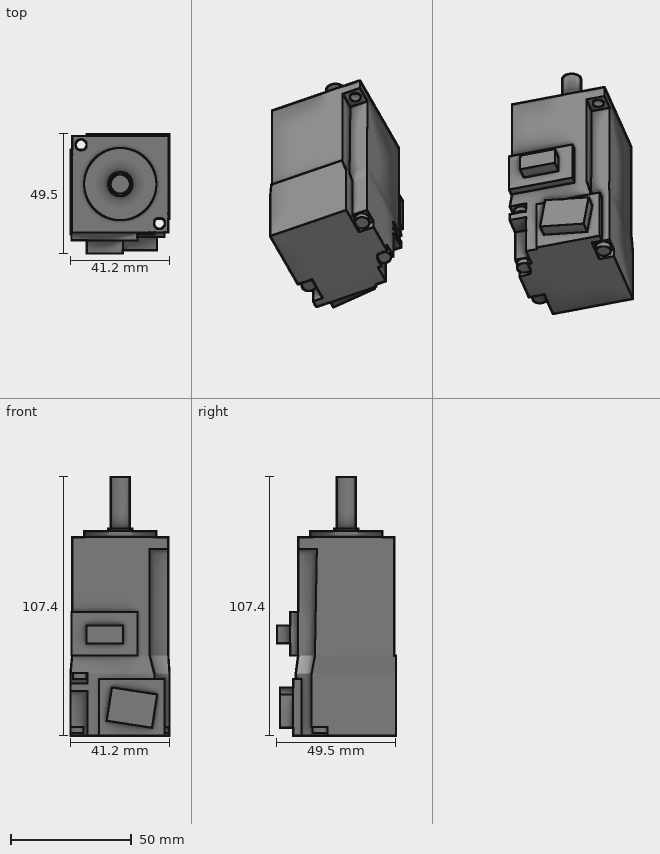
import cadquery as cq
import math


overall_height = 107.4
shaft_length = 25.0
shaft_diameter = 8.0
collar_diameter = 10.0
collar_height = 1.0
pilot_diameter = 30.0
pilot_height = 2.5
flange_size = 40.0
flange_thickness = 5.0
bolt_hole_diameter = 4.5
bolt_circle_diameter = 46.0

flange_top = overall_height - shaft_length
flange_bottom = flange_top - flange_thickness
taper_top = 33.3
taper_bottom = 25.8

half_flange = flange_size / 2
cover_left = -20.7
cover_right = 20.5
cover_front = -21.0
cover_back = 20.7

notch_wall_x = 12.2
notch_wall_y_top = 12.2
notch_wall_y_bottom = 13.0
notch_cover_x = 14.1
notch_cover_y = 14.4
notch_reach = 30.0

corner_wall_x = -13.6
corner_wall_y = -12.85
window_bottom = 21.8
window_top = 26.1
cutaway_top = 18.6

head_height = 2.6
window_head_diameter = 5.8
window_head_x = -16.8
window_head_y = -16.9
cover_head_diameter = 6.1
recess_height = 3.7
corner_head_x = -17.6
corner_head_y = -9.7
corner_recess_x = -15.2
corner_recess_y = -6.3
corner_recess_radius = 2.5
side_head_x = 16.9
side_head_y = 10.9
side_recess_y = 7.7

power_plate_left = -20.3
power_plate_right = 7.1
power_plate_top = 51.4
power_plate_face = -23.3
power_plug_left = -13.9
power_plug_width = 15.0
power_plug_bottom = 38.3
power_plug_height = 7.5
power_plug_face = -28.8

encoder_plate_left = -8.8
encoder_plate_right = 18.45
encoder_plate_top = 23.6
encoder_plate_face = -22.0
encoder_plate_thickness = 3.4
encoder_plug_width = 19.0
encoder_plug_height = 14.0
encoder_plug_x = 4.85
encoder_plug_z = 11.7
encoder_plug_tilt = 8.8
encoder_plug_face = -27.5


def block(x_range, y_range, z_range):
    """Axis-aligned box between the given pairs of limits."""
    size = [high - low for low, high in (x_range, y_range, z_range)]
    return cq.Workplane("XY").box(*size, centered=False).translate(
        (x_range[0], y_range[0], z_range[0])
    )


def cylinder(diameter, bottom, top, x=0, y=0):
    """Vertical cylinder between two heights."""
    return cq.Workplane("XY", origin=(x, y, bottom)).circle(diameter / 2).extrude(top - bottom)


def frustum(lower, upper, z_range):
    """Ruled body between two rectangles, each given as (left, right, front, back)."""
    solid = cq.Workplane("XY", origin=(0, 0, z_range[0]))
    rise = z_range[1] - z_range[0]
    for (left, right, front, back), step in ((lower, 0), (upper, rise)):
        solid = (
            solid.workplane(offset=step)
            .center((left + right) / 2, (front + back) / 2)
            .rect(right - left, back - front)
            .center(-(left + right) / 2, -(front + back) / 2)
        )
    return solid.loft(ruled=True)


def half_turn(shape):
    """The same shape turned 180 degrees about the motor axis."""
    return shape.rotate((0, 0, 0), (0, 0, 1), 180)


def make_body():
    square = (-half_flange, half_flange)
    motor = block(square, square, (taper_top, flange_top))
    cover_outline = (cover_left, cover_right, cover_front, cover_back)
    taper_outline = (-half_flange, half_flange, -half_flange, cover_back)
    taper = frustum(cover_outline, taper_outline, (taper_bottom, taper_top))
    cover = block((cover_left, cover_right), (cover_front, cover_back), (0, taper_bottom))
    return motor.union(taper).union(cover)


def make_bolt_notch():
    """Corner notch at -X +Y behind a flange hole, widening towards the flange."""

    def section(wall_x, wall_y):
        return (-notch_reach, -wall_x, wall_y, notch_reach)

    cover_section = section(notch_cover_x, notch_cover_y)
    middle_section = section(notch_wall_x, notch_wall_y_bottom)
    top_section = section(notch_wall_x, notch_wall_y_top)
    lower = frustum(cover_section, cover_section, (0, taper_bottom))
    middle = frustum(cover_section, middle_section, (taper_bottom, taper_top))
    upper = frustum(middle_section, top_section, (taper_top, flange_bottom))
    return lower.union(middle).union(upper)


def make_side_recess():
    """Recess beside the -X +Y notch, open to the side, the notch and the rear."""
    return block((-notch_reach, -notch_cover_x), (side_recess_y, notch_reach), (0, recess_height))


def make_corner_cuts():
    """Window, tall cutaway and screw recess at the -X -Y corner of the cover."""
    x_range = (-notch_reach, corner_wall_x)
    y_range = (-notch_reach, corner_wall_y)
    window = block(x_range, y_range, (window_bottom, window_top))
    cutaway = block(x_range, y_range, (0, cutaway_top))
    recess = block(
        (-notch_reach, corner_recess_x), (corner_wall_y, corner_recess_y), (0, recess_height)
    )
    recess = recess.edges("|Z and >X and >Y").fillet(corner_recess_radius)
    return window.union(cutaway).union(recess)


def screw_head(diameter, x, y, roof):
    return cylinder(diameter, roof - head_height, roof, x, y)


def make_shaft_end():
    pilot_top = flange_top + pilot_height
    pilot = cylinder(pilot_diameter, flange_top, pilot_top)
    collar = cylinder(collar_diameter, pilot_top, pilot_top + collar_height)
    shaft = cylinder(shaft_diameter, flange_top, overall_height)
    return pilot.union(collar).union(shaft)


def make_power_connector():
    plate = block(
        (power_plate_left, power_plate_right),
        (power_plate_face, -half_flange),
        (taper_top, power_plate_top),
    )
    plug = block(
        (power_plug_left, power_plug_left + power_plug_width),
        (power_plug_face, power_plate_face),
        (power_plug_bottom, power_plug_bottom + power_plug_height),
    )
    return plate.union(plug)


def make_encoder_connector():
    plate = block(
        (encoder_plate_left, encoder_plate_right),
        (encoder_plate_face, encoder_plate_face + encoder_plate_thickness),
        (0, encoder_plate_top),
    )
    plug = (
        cq.Workplane("XZ", origin=(encoder_plug_x, encoder_plate_face, encoder_plug_z))
        .transformed(rotate=(0, 0, -encoder_plug_tilt))
        .rect(encoder_plug_width, encoder_plug_height)
        .extrude(encoder_plate_face - encoder_plug_face)
    )
    return plate.union(plug)


body = make_body()
bolt_offset = bolt_circle_diameter / 2 * math.cos(math.pi / 4)
bolt_hole = cylinder(bolt_hole_diameter, flange_bottom, flange_top, -bolt_offset, bolt_offset)
for corner_cut in (make_bolt_notch(), make_side_recess(), bolt_hole):
    body = body.cut(corner_cut).cut(half_turn(corner_cut))
body = body.cut(make_corner_cuts())

side_head = screw_head(cover_head_diameter, -side_head_x, side_head_y, recess_height)
additions = [
    side_head,
    half_turn(side_head),
    screw_head(cover_head_diameter, corner_head_x, corner_head_y, recess_height),
    screw_head(window_head_diameter, window_head_x, window_head_y, window_top),
    make_shaft_end(),
    make_power_connector(),
    make_encoder_connector(),
]
for addition in additions:
    body = body.union(addition)

result = body